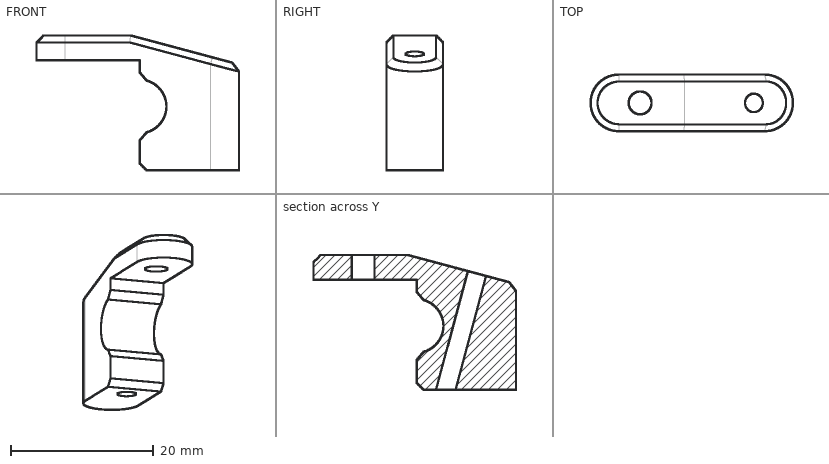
import cadquery as cq
import math

length = 28.5
width = 8.0
height = 19.0

arm_underside = 15.48
bend_x = 13.25
slope_angle = 15.0
body_face_x = 14.5
bevel = 1.0

groove_radius = 3.75
groove_z = 9.0
groove_lip_depth = 1.0
groove_lip_half_height = 4.8

arm_hole_x = 6.98
arm_hole_diameter = 3.2
sloped_hole_x = 23.0
sloped_hole_diameter = 2.6


def slope_z(x):
    """Height of the sloping top at x."""
    return height - (x - bend_x) * math.tan(math.radians(slope_angle))


def make_blank():
    """Side profile cut to a plan outline with fully rounded ends."""
    lip_x = body_face_x + groove_lip_depth
    lip_half_height = math.sqrt(groove_radius**2 - groove_lip_depth**2)
    profile = (
        cq.Workplane("XZ")
        .moveTo(0, arm_underside)
        .lineTo(0, height)
        .lineTo(bend_x, height)
        .lineTo(length, slope_z(length))
        .lineTo(length, 0)
        .lineTo(body_face_x + bevel, 0)
        .lineTo(body_face_x, bevel)
        .lineTo(body_face_x, groove_z - groove_lip_half_height)
        .lineTo(lip_x, groove_z - lip_half_height)
        .threePointArc(
            (body_face_x + groove_radius, groove_z),
            (lip_x, groove_z + lip_half_height),
        )
        .lineTo(body_face_x, groove_z + groove_lip_half_height)
        .lineTo(body_face_x, arm_underside)
        .close()
        .extrude(width / 2, both=True)
    )
    plan = cq.Workplane("XY").center(length / 2, 0).slot2D(length, width).extrude(height)
    return profile.intersect(plan)


def bevel_top(body):
    """Bevel the rim of the flat and sloping top faces, but not the bend between them."""
    tilt = math.radians(slope_angle)
    slope_normal = cq.Vector(math.sin(tilt), 0, math.cos(tilt))
    slope_face = cq.selectors.DirectionMinMaxSelector(slope_normal, True)
    flat_face = cq.selectors.StringSyntaxSelector(">Z")
    bend_edge = cq.selectors.NearestToPointSelector((bend_x, 0, height))
    rim = body.faces(flat_face + slope_face).edges()
    return rim.edges(cq.selectors.InverseSelector(bend_edge)).chamfer(bevel)


def make_hole(x, z, diameter, tilt):
    """Through-hole cutter centred on the top at (x, z), tilted about Y in degrees."""
    return (
        cq.Workplane("XY")
        .circle(diameter / 2)
        .extrude(2 * height, both=True)
        .rotate((0, 0, 0), (0, 1, 0), tilt)
        .translate((x, 0, z))
    )


arm_hole = make_hole(arm_hole_x, height, arm_hole_diameter, 0)
sloped_hole = make_hole(sloped_hole_x, slope_z(sloped_hole_x), sloped_hole_diameter, slope_angle)

result = bevel_top(make_blank()).cut(arm_hole).cut(sloped_hole)